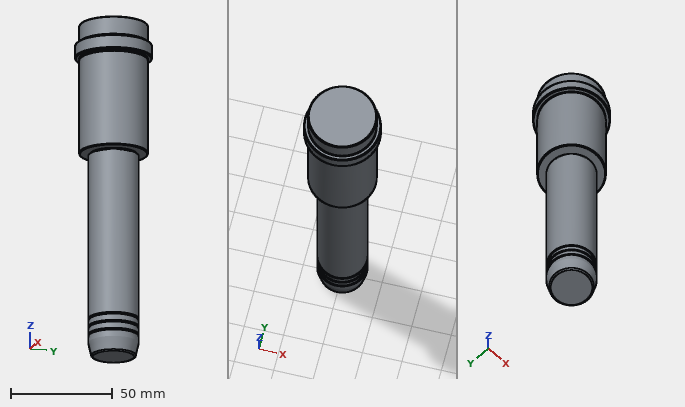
import cadquery as cq

length = 170.0
collar_diameter = 38.0
body_diameter = 34.0
pin_diameter = 25.0
neck_diameter = 23.0
tip_diameter = 21.8

collar_top = 160.0
collar_bottom = 153.0
body_bottom = 104.0
neck_length = 1.0
taper_height = 7.0

body_chamfer = 0.5
collar_chamfer = 0.5
tip_chamfer = 0.7

relief_width = 1.0
relief_depth = 0.3
ring_count = 3
ring_width = 1.0
ring_depth = 0.3
ring_pitch = 4.0
lowest_ring_center = 10.7


def cylinder(diameter, bottom, top):
    """Vertical cylinder between two heights."""
    return cq.Workplane("XY").workplane(offset=bottom).circle(diameter / 2).extrude(top - bottom)


def vee_groove(diameter, depth, bottom, width):
    """V-shaped ring cutter sunk into a cylinder of the given diameter."""
    surface = diameter / 2
    outline = [
        (surface, bottom),
        (surface - depth, bottom + width / 2),
        (surface, bottom + width),
    ]
    return cq.Workplane("XZ").polyline(outline).close().revolve(360, (0, 0, 0), (0, 1, 0))


tip = (
    cq.Workplane("XY")
    .circle(tip_diameter / 2)
    .workplane(offset=taper_height)
    .circle(pin_diameter / 2)
    .loft(ruled=True)
    .faces("<Z")
    .chamfer(tip_chamfer)
)

neck_bottom = body_bottom - neck_length
pin = cylinder(pin_diameter, taper_height, neck_bottom)
neck = cylinder(neck_diameter, neck_bottom, body_bottom)
body = cylinder(body_diameter, body_bottom, length).faces("<Z or >Z").chamfer(body_chamfer)
for relief_bottom in (collar_top, collar_bottom - relief_width):
    body = body.cut(vee_groove(body_diameter, relief_depth, relief_bottom, relief_width))
collar = cylinder(collar_diameter, collar_bottom, collar_top).faces("<Z or >Z").chamfer(collar_chamfer)

result = tip.union(pin).union(neck).union(body).union(collar)

for index in range(ring_count):
    ring_bottom = lowest_ring_center + index * ring_pitch - ring_width / 2
    result = result.cut(vee_groove(pin_diameter, ring_depth, ring_bottom, ring_width))